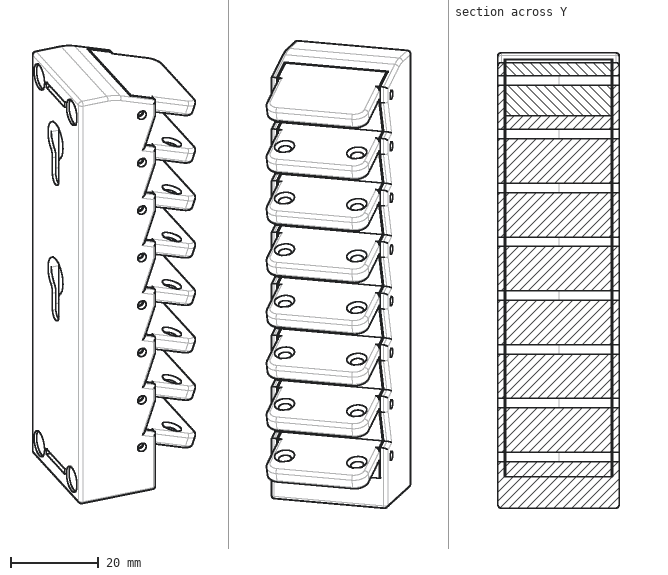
import cadquery as cq
import math

width = 27.7
height = 103.7
depth = 19.1
overall_depth = 30.5
edge_radius = 0.8

levels = 8
pitch = 12.2
tilt_deg = 18.8
top_front_z = 100.2
land = 3.7
crown_radius = 10.4

tab_width = 24.1
tab_thickness = 3.6
tab_corner_radius = 3.0
clearance = 0.3
root_back = 13.5
root_floor_drop = 7.3
pin_hole_diameter = 2.1
pin_y = 15.5
pin_drop = 2.8

dimple_diameter = 4.6
dimple_depth = 0.8
dimple_taper = 45.0
dimple_side_inset = 3.4
dimple_tip_inset = 5.9

pad_diameter = 6.0
pad_depth = 0.6
pad_x = 9.3
strap_slot_width = 10.5
strap_slot_height = 1.3
strap_slot_depth = 3.1
end_feature_inset = 4.6
keyhole_zs = (87.4, 52.5)
keyhole_diameter = 8.6
keyhole_slot_width = 3.5
keyhole_drop = 9.6
keyhole_neck_radius = 2.5
keyhole_lip = 0.8
keyhole_depth = 2.7

tilt = math.radians(tilt_deg)
rise = math.tan(tilt)
notch_depth = (pitch - land) / (rise + 1 / rise)
tab_length = (overall_depth - depth - edge_radius * (1 - math.sin(tilt))) / math.cos(tilt) + edge_radius
recess_width = tab_width + 2 * clearance
recess_back = root_back - clearance
shelf_edges = [top_front_z - level * pitch for level in range(levels)]
root_floor = shelf_edges[-1] - root_floor_drop


def shelf_z(y, edge_z):
    """Height at Y of the sloping plane through a shelf edge."""
    return edge_z + (depth - y) * rise


def extrude_across(points, across):
    """Prism of a YZ outline, centred on X = 0."""
    return cq.Workplane("YZ").polyline(points).close().extrude(across / 2, both=True)


def step_points(edge_z):
    """Front outline of one level down to the notch above the next shelf."""
    notch_y = depth - notch_depth
    return [
        (depth, edge_z),
        (depth, edge_z - land),
        (notch_y, shelf_z(notch_y, edge_z - pitch)),
    ]


def housing_block():
    crest_y = depth - (height - top_front_z) / rise
    outline = [(0, 0), (0, height), (crest_y, height)]
    for edge_z in shelf_edges[:-1]:
        outline += step_points(edge_z)
    outline += [(depth, shelf_edges[-1]), (depth, 0)]
    block = extrude_across(outline, width)
    crest = cq.selectors.NearestToPointSelector((0, crest_y, height))
    block = block.edges(crest).fillet(crown_radius)
    return block.faces("<X or >X or <Y or <Z").edges().fillet(edge_radius)


def tab_recess():
    outline = [
        (recess_back, root_floor),
        (recess_back, height),
        (overall_depth, height),
        (overall_depth, root_floor),
    ]
    return extrude_across(outline, recess_width)


def pin_holes():
    points = [(pin_y, edge_z - pin_drop) for edge_z in shelf_edges]
    return cq.Workplane("YZ").pushPoints(points).circle(pin_hole_diameter / 2).extrude(width, both=True)


def back_plane(y=0.0):
    """Sketch plane at Y whose extrusions go into the housing."""
    return cq.Workplane("XZ", origin=(0, y, 0))


def pad_recesses():
    points = [(x, z) for x in (-pad_x, pad_x) for z in (end_feature_inset, height - end_feature_inset)]
    return back_plane().pushPoints(points).circle(pad_diameter / 2).extrude(-pad_depth)


def upper_strap_slot():
    plane = back_plane().center(0, height - end_feature_inset)
    return plane.rect(strap_slot_width, strap_slot_height).extrude(-strap_slot_depth)


def lower_strap_slot():
    """Slot whose floor slopes by the tab tilt, deeper towards the bottom."""
    bottom_z = end_feature_inset - strap_slot_height / 2
    top_z = end_feature_inset + strap_slot_height / 2
    outline = [
        (0, bottom_z),
        (0, top_z),
        (strap_slot_depth, top_z),
        (strap_slot_depth + strap_slot_height * rise, bottom_z),
    ]
    return extrude_across(outline, strap_slot_width)


def keyhole(head_z):
    """Keyhole through a thin lip, with a wider round-ended cavity behind it."""
    head_radius = keyhole_diameter / 2
    slot_radius = keyhole_slot_width / 2
    slot_end_z = head_z - keyhole_drop
    neck_x = slot_radius + keyhole_neck_radius
    reach = head_radius + keyhole_neck_radius
    neck_z = head_z - math.sqrt(reach**2 - neck_x**2)
    touch_x = neck_x * head_radius / reach
    touch_z = head_z + (neck_z - head_z) * head_radius / reach
    half_sweep = math.atan2(head_z - neck_z, neck_x) / 2
    mid_x = neck_x - keyhole_neck_radius * math.cos(half_sweep)
    mid_z = neck_z + keyhole_neck_radius * math.sin(half_sweep)
    opening = (
        back_plane()
        .moveTo(-touch_x, touch_z)
        .threePointArc((0, head_z + head_radius), (touch_x, touch_z))
        .threePointArc((mid_x, mid_z), (slot_radius, neck_z))
        .lineTo(slot_radius, slot_end_z)
        .threePointArc((0, slot_end_z - slot_radius), (-slot_radius, slot_end_z))
        .lineTo(-slot_radius, neck_z)
        .threePointArc((-mid_x, mid_z), (-touch_x, touch_z))
        .close()
        .extrude(-keyhole_lip)
    )
    cavity = (
        back_plane(keyhole_lip)
        .center(0, head_z - keyhole_drop / 2)
        .slot2D(keyhole_drop + keyhole_diameter, keyhole_diameter, 90)
        .extrude(keyhole_lip - keyhole_depth)
    )
    return opening.union(cavity)


def make_housing():
    housing = housing_block().cut(tab_recess()).cut(pin_holes())
    housing = housing.cut(pad_recesses()).cut(upper_strap_slot()).cut(lower_strap_slot())
    for head_z in keyhole_zs:
        housing = housing.cut(keyhole(head_z))
    return housing


def tab_plane(edge_z):
    """Plane on a tab's top; local y runs down the slope towards the tip."""
    normal = (0, math.sin(tilt), math.cos(tilt))
    return cq.Plane(origin=(0, depth, edge_z), xDir=(1, 0, 0), normal=normal)


def tab_plate(edge_z):
    """Sloping plate in front of the housing, rounded along its free edges."""
    plate = cq.Workplane("XY").rect(tab_width, 2 * tab_length).extrude(-tab_thickness)
    plate = plate.edges("|Z").fillet(tab_corner_radius)
    plate = plate.faces("<Z or >Z").edges().fillet(edge_radius)
    front_half = cq.Workplane("XY").box(
        tab_width, tab_length, 2 * tab_thickness, centered=(True, False, True)
    )
    plate = plate.intersect(front_half)
    return cq.Workplane(plate.val().moved(cq.Location(tab_plane(edge_z))))


def tab_root(edge_z):
    """Part of a tab inside the recess, flush with the stepped front."""
    outline = [(root_back, shelf_z(root_back, edge_z))]
    if edge_z == shelf_edges[-1]:
        outline += [(depth, edge_z), (depth, root_floor), (root_back, root_floor)]
    else:
        outline += step_points(edge_z)
        outline.append((root_back, shelf_z(root_back, edge_z - pitch)))
    return extrude_across(outline, tab_width)


def tab(edge_z):
    return tab_root(edge_z).union(tab_plate(edge_z))


def dimples(edge_z):
    x = tab_width / 2 - dimple_side_inset
    y = tab_length - dimple_tip_inset
    circles = cq.Workplane(tab_plane(edge_z)).pushPoints([(-x, y), (x, y)]).circle(dimple_diameter / 2)
    return circles.extrude(-dimple_depth, taper=dimple_taper)


def make_lid_tab():
    """Plain uppermost tab, a body of its own."""
    return tab(shelf_edges[0]).cut(pin_holes())


def make_tab_comb():
    """Remaining tabs, joined through their roots."""
    comb = tab(shelf_edges[1]).cut(dimples(shelf_edges[1]))
    for edge_z in shelf_edges[2:]:
        comb = comb.union(tab(edge_z).cut(dimples(edge_z)))
    return comb.cut(pin_holes())


housing = make_housing()
lid_tab = make_lid_tab()
tab_comb = make_tab_comb()

result = cq.Compound.makeCompound([housing.solids().val(), lid_tab.solids().val(), tab_comb.solids().val()])